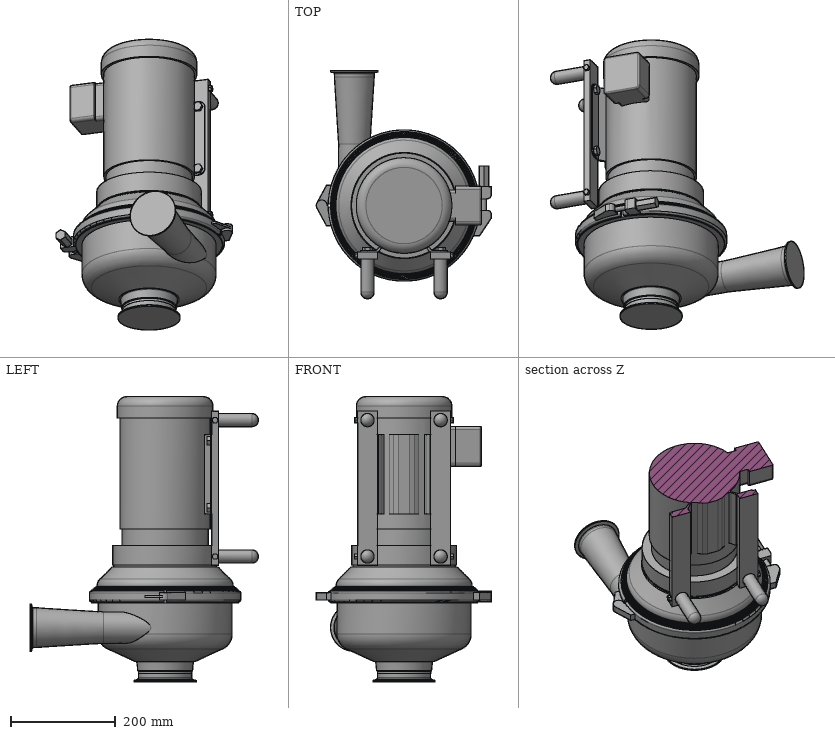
import cadquery as cq
import math

TOTAL_HEIGHT = 544.09

MOTOR_D = 172.97
MOTOR_NECK_D = 164.85
CAP_D = 182.63
CAP_ROUND = 18.5
FLANGE_D = 200.0
CAP_BOTTOM_Z = 502.6
MOTOR_BOTTOM_Z = 291.2
FLANGE_TOP_Z = 260.2
FLANGE_BOTTOM_Z = 222.4

COVER_D = 260.0
COVER_TOP_Z = 219.2
COVER_ROUND = 18.0
COVER_RIM_Z = 183.0
COVER_NECK_R = 98.0

CLAMP_R = 144.5
CLAMP_BOTTOM_Z = 152.6
CLAMP_TOP_Z = 173.2
CLAMP_ROUND = 3.5
CLAMP_GAP = 5.0
FERRULE_R = 140.0
FERRULE_BOTTOM_Z = 150.5
FERRULE_STEP_R = 2.0
FERRULE_STEP_Z = 1.8
FERRULE_STEPS = 5

HOUSING_R = 128.0
HOUSING_ROUND = 31.0
HOUSING_ROUND_TOP_Z = 91.0
HOUSING_CONE_ANGLE = 24.8
HOUSING_CONE_BOTTOM_Z = 38.6

INLET_COLLAR_TOP_R = 54.2
INLET_COLLAR_BOTTOM_R = 52.6
INLET_COLLAR_BOTTOM_Z = 21.6
INLET_COLLAR_EDGE = 1.5
INLET_D = 102.0
INLET_FERRULE_D = 118.92
INLET_FERRULE_PIPE_D = 101.73
INLET_FERRULE_TOP_Z = 15.5

FERRULE_RIM_THICKNESS = 2.85
FERRULE_FLARE_WIDTH = 6.5
FERRULE_FLARE_HEIGHT = 4.5
FERRULE_NECK_HEIGHT = 7.0

OUTLET_X = -94.9
OUTLET_Z = 103.4
OUTLET_D = 60.3
OUTLET_END_D = 76.33
OUTLET_FERRULE_D = 90.91
OUTLET_END_Y = 257.5
OUTLET_CONE_START_Y = 117.5
OUTLET_CONE_END_Y = 244.9

ROD_X = 69.75
ROD_D = 25.4
ROD_END_Y = -178.0
ROD_Z = (239.0, 499.0)
BAR_WIDTH = 38.0
BAR_BACK_Y = -88.7
BAR_THICKNESS = 13.3
BAR_BOTTOM_Z = 222.0
BAR_TOP_Z = 516.0
SCREW_ACROSS_FLATS = 10.0
SCREW_HEAD_HEIGHT = 5.5

FOOT_BOTTOM_Z = 320.4
FOOT_TOP_Z = 471.4
FOOT_PLATE_THICKNESS = 2.5
FOOT_PLATE_INNER_X = 49.0
FOOT_CORNER_R = 13.0
ARM_INNER_SIDE = [(34.0, -72.0), (38.6, -77.4), (42.0, -80.0)]
ARM_OUTER_SIDE = [(42.6, -75.3), (38.0, -70.0)]
ARM_OUTER_BEND_X = 54.6
FOOT_BOLT_SPACING = 128.0
FOOT_NUT_ACROSS_FLATS = 16.0
FOOT_NUT_HEIGHT = 6.0
PAD_HALF_OUTLINE = [(10.6, -90.0), (20.3, -87.0), (28.0, -81.8), (28.0, -75.0)]

BOX_BACK_X = 98.0
BOX_FRONT_X = 147.6
BOX_WIDTH = 74.4
BOX_NECK_WIDTH = 60.0
BOX_BOTTOM_Z = 410.4
BOX_TOP_Z = 487.2
BOX_EDGE_ROUND = 6.5
BOX_FRONT_ROUND = 3.2

LUG_HEIGHT = 14.0

HINGE_X = -157.0
HINGE_R = 10.5
HINGE_TONGUE_HEIGHT = 4.0
HINGE_END_X = -148.0
HINGE_INNER_X = -144.8
HINGE_ROOT_X = -137.0
HINGE_HALF_LENGTH = 38.7

BOLT_X = 152.5
BOLT_D = 10.0
NUT_ACROSS_FLATS = 18.5
NUT_END_Y = 75.4
LUG_OUTER_X = 166.31
LUG_ROUND = 7.5
LUG_TOP_Y = 36.0
LOCK_GAP_TOP_Y = 12.8
LOCK_GAP_BOTTOM_Y = -9.0
UPPER_LUG_ROOT_X = 136.0
LOWER_LUG_ROOT_X = 132.0
LOWER_LUG_SLOPE_TOP_Y = -24.3
LOWER_LUG_END_X = 144.0
LOWER_LUG_END_Y = -57.8

clamp_middle_z = (CLAMP_BOTTOM_Z + CLAMP_TOP_Z) / 2


def rotated(profile):
    """Closed (radius, height) profile revolved about Z."""
    return profile.close().revolve(360, (0, 0, 0), (0, 1, 0))


def block(x_range, y_range, z_range):
    size = [high - low for low, high in (x_range, y_range, z_range)]
    corner = (x_range[0], y_range[0], z_range[0])
    return cq.Workplane("XY").box(*size, centered=False).translate(corner)


def prism(points, bottom_z, top_z):
    return cq.Workplane("XY").workplane(offset=bottom_z).polyline(points).close().extrude(top_z - bottom_z)


def hexagon(plane, origin, across_flats, length, turn=0):
    """Hexagonal bar from `origin` along the plane's normal."""
    corner_d = across_flats / math.cos(math.pi / 6)
    workplane = cq.Workplane(plane, origin=origin)
    return workplane.transformed(rotate=(0, 0, turn)).polygon(6, corner_d).extrude(length)


def mirrored_pair(solid):
    return solid.union(solid.mirror("YZ"))


def motor():
    cap_r = CAP_D / 2
    cap_round_z = TOTAL_HEIGHT - CAP_ROUND
    round_middle = CAP_ROUND * math.sqrt(0.5)
    return rotated(
        cq.Workplane("XZ")
        .moveTo(0, COVER_TOP_Z)
        .lineTo(COVER_NECK_R, COVER_TOP_Z)
        .lineTo(COVER_NECK_R, FLANGE_BOTTOM_Z)
        .lineTo(FLANGE_D / 2, FLANGE_BOTTOM_Z)
        .lineTo(FLANGE_D / 2, FLANGE_TOP_Z)
        .lineTo(MOTOR_NECK_D / 2, FLANGE_TOP_Z)
        .lineTo(MOTOR_NECK_D / 2, MOTOR_BOTTOM_Z)
        .lineTo(MOTOR_D / 2, MOTOR_BOTTOM_Z)
        .lineTo(MOTOR_D / 2, CAP_BOTTOM_Z)
        .lineTo(cap_r, CAP_BOTTOM_Z)
        .lineTo(cap_r, cap_round_z)
        .threePointArc(
            (cap_r - CAP_ROUND + round_middle, cap_round_z + round_middle),
            (cap_r - CAP_ROUND, TOTAL_HEIGHT),
        )
        .lineTo(0, TOTAL_HEIGHT)
    )


def back_cover():
    """45 degree cone, its rounded rim and the stepped upper ferrule."""
    rim_r = COVER_D / 2
    centre_r = rim_r - COVER_ROUND
    diagonal = COVER_ROUND * math.sqrt(0.5)
    middle = math.radians(45) / 2
    cone_foot_r = centre_r + diagonal
    cone_foot_z = COVER_RIM_Z + diagonal
    cone_top_r = cone_foot_r - (COVER_TOP_Z - cone_foot_z)
    profile = (
        cq.Workplane("XZ")
        .moveTo(0, COVER_TOP_Z)
        .lineTo(cone_top_r, COVER_TOP_Z)
        .lineTo(cone_foot_r, cone_foot_z)
        .threePointArc(
            (centre_r + COVER_ROUND * math.cos(middle), COVER_RIM_Z + COVER_ROUND * math.sin(middle)),
            (rim_r, COVER_RIM_Z),
        )
    )
    for step in range(FERRULE_STEPS):
        step_z = COVER_RIM_Z - (step + 0.5) * FERRULE_STEP_Z
        profile = profile.lineTo(rim_r + step * FERRULE_STEP_R, step_z)
        profile = profile.lineTo(rim_r + (step + 1) * FERRULE_STEP_R, step_z)
    ferrule_r = rim_r + FERRULE_STEPS * FERRULE_STEP_R
    return rotated(profile.lineTo(ferrule_r, clamp_middle_z).lineTo(0, clamp_middle_z))


def housing():
    """Lower ferrule, cylinder, rounded shoulder and cone down to the inlet."""
    centre_r = HOUSING_R - HOUSING_ROUND
    turn = math.radians(90 - HOUSING_CONE_ANGLE)
    cone_top_r = centre_r + HOUSING_ROUND * math.cos(turn)
    cone_top_z = HOUSING_ROUND_TOP_Z - HOUSING_ROUND * math.sin(turn)
    cone_drop = cone_top_z - HOUSING_CONE_BOTTOM_Z
    cone_bottom_r = cone_top_r - cone_drop / math.tan(math.radians(HOUSING_CONE_ANGLE))
    return rotated(
        cq.Workplane("XZ")
        .moveTo(0, clamp_middle_z)
        .lineTo(FERRULE_R, clamp_middle_z)
        .lineTo(FERRULE_R, FERRULE_BOTTOM_Z)
        .lineTo(HOUSING_R, FERRULE_BOTTOM_Z)
        .lineTo(HOUSING_R, HOUSING_ROUND_TOP_Z)
        .threePointArc(
            (
                centre_r + HOUSING_ROUND * math.cos(turn / 2),
                HOUSING_ROUND_TOP_Z - HOUSING_ROUND * math.sin(turn / 2),
            ),
            (cone_top_r, cone_top_z),
        )
        .lineTo(cone_bottom_r, HOUSING_CONE_BOTTOM_Z)
        .lineTo(0, HOUSING_CONE_BOTTOM_Z)
    )


def inlet():
    rim_r = INLET_FERRULE_D / 2
    pipe_r = INLET_FERRULE_PIPE_D / 2
    overlap_z = HOUSING_CONE_BOTTOM_Z + 1
    return rotated(
        cq.Workplane("XZ")
        .lineTo(rim_r, 0)
        .lineTo(rim_r, FERRULE_RIM_THICKNESS)
        .lineTo(rim_r - FERRULE_FLARE_WIDTH, FERRULE_FLARE_HEIGHT)
        .lineTo(pipe_r, FERRULE_NECK_HEIGHT)
        .lineTo(pipe_r, INLET_FERRULE_TOP_Z)
        .lineTo(INLET_D / 2, INLET_FERRULE_TOP_Z)
        .lineTo(INLET_D / 2, INLET_COLLAR_BOTTOM_Z - INLET_COLLAR_EDGE)
        .lineTo(INLET_COLLAR_BOTTOM_R, INLET_COLLAR_BOTTOM_Z)
        .lineTo(INLET_COLLAR_TOP_R, HOUSING_CONE_BOTTOM_Z - INLET_COLLAR_EDGE)
        .lineTo(INLET_COLLAR_TOP_R, overlap_z)
        .lineTo(0, overlap_z)
    )


def outlet():
    """Tangential pipe that widens along +Y and ends in a ferrule."""
    rim_r = OUTLET_FERRULE_D / 2
    end_r = OUTLET_END_D / 2
    pipe = (
        cq.Workplane("XY")
        .lineTo(OUTLET_D / 2, 0)
        .lineTo(OUTLET_D / 2, OUTLET_CONE_START_Y)
        .lineTo(end_r, OUTLET_CONE_END_Y)
        .lineTo(end_r, OUTLET_END_Y - FERRULE_NECK_HEIGHT)
        .lineTo(rim_r - FERRULE_FLARE_WIDTH, OUTLET_END_Y - FERRULE_FLARE_HEIGHT)
        .lineTo(rim_r, OUTLET_END_Y - FERRULE_RIM_THICKNESS)
        .lineTo(rim_r, OUTLET_END_Y)
        .lineTo(0, OUTLET_END_Y)
        .close()
        .revolve(360, (0, 0, 0), (0, 1, 0))
    )
    return pipe.translate((OUTLET_X, 0, OUTLET_Z))


def clamp_ring():
    """Ring around both ferrules, split on the -X and +X sides."""
    height = CLAMP_TOP_Z - CLAMP_BOTTOM_Z
    ring = cq.Workplane("XY").workplane(offset=CLAMP_BOTTOM_Z).circle(CLAMP_R).extrude(height)
    ring = ring.edges().fillet(CLAMP_ROUND)
    bore = cq.Workplane("XY").workplane(offset=CLAMP_BOTTOM_Z).circle(COVER_D / 2).extrude(height)
    split = cq.Workplane("XY").box(3 * CLAMP_R, CLAMP_GAP, 3 * CLAMP_R)
    return ring.cut(bore).cut(split)


def hinge():
    """Thick knuckled lug on the -Y half and a thin tongue on the +Y half."""

    end_run = HINGE_END_X - HINGE_X
    end_angle = math.atan2(HINGE_HALF_LENGTH, end_run)
    tangent_angle = end_angle + math.acos(HINGE_R / math.hypot(end_run, HINGE_HALF_LENGTH))
    tangent_x = HINGE_X + HINGE_R * math.cos(tangent_angle)
    tangent_y = HINGE_R * math.sin(tangent_angle)

    def lug(height, side):
        bottom_z = clamp_middle_z - height / 2
        top_z = clamp_middle_z + height / 2
        plate = prism(
            [
                (tangent_x, side * tangent_y),
                (HINGE_END_X, side * HINGE_HALF_LENGTH),
                (HINGE_ROOT_X, side * HINGE_HALF_LENGTH),
                (HINGE_ROOT_X, side * HINGE_R),
                (HINGE_INNER_X, side * HINGE_R),
                (HINGE_INNER_X, 0),
                (HINGE_X, 0),
            ],
            bottom_z,
            top_z,
        )
        knuckle = cq.Workplane("XY", origin=(HINGE_X, 0, bottom_z)).circle(HINGE_R).extrude(height)
        return plate.union(knuckle)

    return lug(LUG_HEIGHT, -1).union(lug(HINGE_TONGUE_HEIGHT, 1))


def clamp_lock():
    """Two lugs on the +X side, the bolt between them and its long nut."""
    upper_lug = block(
        (UPPER_LUG_ROOT_X, LUG_OUTER_X), (LOCK_GAP_TOP_Y, LUG_TOP_Y), (CLAMP_BOTTOM_Z, CLAMP_TOP_Z)
    )
    lower_lug = prism(
        [
            (LOWER_LUG_ROOT_X, LOCK_GAP_BOTTOM_Y),
            (LUG_OUTER_X, LOCK_GAP_BOTTOM_Y),
            (LUG_OUTER_X, LOWER_LUG_SLOPE_TOP_Y),
            (LOWER_LUG_END_X, LOWER_LUG_END_Y),
            (LOWER_LUG_ROOT_X, LOWER_LUG_END_Y),
        ],
        clamp_middle_z - LUG_HEIGHT / 2,
        clamp_middle_z + LUG_HEIGHT / 2,
    )
    bolt_start = cq.Workplane("XZ", origin=(BOLT_X, LUG_TOP_Y, clamp_middle_z))
    lock = bolt_start.circle(BOLT_D / 2).extrude(2 * LUG_TOP_Y)
    lock = lock.union(upper_lug.edges("|Z and >X").edges("<Y").fillet(LUG_ROUND))
    lock = lock.union(lower_lug.edges("|Z and >X").edges(">Y").fillet(LUG_ROUND))
    nut_end = (BOLT_X, NUT_END_Y, clamp_middle_z)
    return lock.union(hexagon("XZ", nut_end, NUT_ACROSS_FLATS, NUT_END_Y - LUG_TOP_Y, 90))


def support():
    """+X support: bar, two round-ended rods and the screws in the bar's outer side."""
    bar_outer_x = ROD_X + BAR_WIDTH / 2
    bar_front_y = BAR_BACK_Y - BAR_THICKNESS
    solid = block(
        (ROD_X - BAR_WIDTH / 2, bar_outer_x), (bar_front_y, BAR_BACK_Y), (BAR_BOTTOM_Z, BAR_TOP_Z)
    )
    straight_length = BAR_BACK_Y - ROD_END_Y - ROD_D / 2
    for z in ROD_Z:
        rod_start = cq.Workplane("XZ", origin=(ROD_X, BAR_BACK_Y, z))
        rod = rod_start.circle(ROD_D / 2).extrude(straight_length)
        tip = cq.Workplane("XY").sphere(ROD_D / 2).translate((ROD_X, ROD_END_Y + ROD_D / 2, z))
        screw_start = (bar_outer_x, (bar_front_y + BAR_BACK_Y) / 2, z)
        screw = hexagon("YZ", screw_start, SCREW_ACROSS_FLATS, SCREW_HEAD_HEIGHT)
        solid = solid.union(rod).union(tip).union(screw)
    return solid


def foot():
    """+X motor foot: a plate behind the bar, a slanted arm to the motor and two nuts."""
    plate_back_y = BAR_BACK_Y + FOOT_PLATE_THICKNESS
    arm = prism(
        [
            *ARM_INNER_SIDE,
            (FOOT_PLATE_INNER_X, BAR_BACK_Y),
            (ARM_OUTER_BEND_X, BAR_BACK_Y),
            (ARM_OUTER_BEND_X, plate_back_y),
            *ARM_OUTER_SIDE,
        ],
        FOOT_BOTTOM_Z,
        FOOT_TOP_Z,
    )
    plate = block(
        (FOOT_PLATE_INNER_X, ROD_X + FOOT_CORNER_R),
        (BAR_BACK_Y, plate_back_y),
        (FOOT_BOTTOM_Z, FOOT_TOP_Z),
    )
    solid = arm.union(plate.edges("|Y and >X").fillet(FOOT_CORNER_R))
    for side in (-1, 1):
        bolt_z = (FOOT_BOTTOM_Z + FOOT_TOP_Z + side * FOOT_BOLT_SPACING) / 2
        nut_end = (ROD_X, plate_back_y + FOOT_NUT_HEIGHT, bolt_z)
        solid = solid.union(hexagon("XZ", nut_end, FOOT_NUT_ACROSS_FLATS, FOOT_NUT_HEIGHT))
    return solid


def front_pad():
    """Faceted pad on the motor's -Y side."""
    other_half = [(-x, y) for x, y in reversed(PAD_HALF_OUTLINE)]
    return prism(PAD_HALF_OUTLINE + other_half, FOOT_BOTTOM_Z, FOOT_TOP_Z)


def terminal_box():
    z_range = (BOX_BOTTOM_Z, BOX_TOP_Z)
    box = block((BOX_BACK_X, BOX_FRONT_X), (-BOX_WIDTH / 2, BOX_WIDTH / 2), z_range)
    box = box.edges("|X").fillet(BOX_EDGE_ROUND)
    box = box.faces(">X").edges().fillet(BOX_FRONT_ROUND)
    neck = block((MOTOR_NECK_D / 4, BOX_BACK_X), (-BOX_NECK_WIDTH / 2, BOX_NECK_WIDTH / 2), z_range)
    return box.union(neck.edges("|X").fillet(BOX_EDGE_ROUND))


result = motor()
for component in (
    back_cover(),
    housing(),
    inlet(),
    outlet(),
    clamp_ring(),
    hinge(),
    clamp_lock(),
    mirrored_pair(support()),
    mirrored_pair(foot()),
    front_pad(),
    terminal_box(),
):
    result = result.union(component)